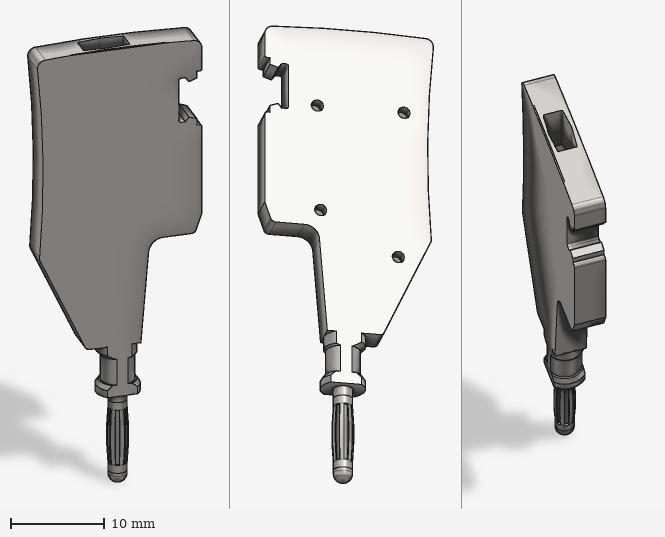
import cadquery as cq
import math

TOTAL_HEIGHT = 51.95

HOUSING_THICKNESS = 3.55
HALF_THICKNESS = HOUSING_THICKNESS / 2
HOUSING_BOTTOM_Z = 16.85
BACK_Y = 8.95
CORNER_Z = 51.65
TOP_FRONT_Y = -9.65
CROWN_CENTER_Y = (BACK_Y + TOP_FRONT_Y) / 2
WAIST_Y = -8.95
WAIST_Z = 37.9
CHIN_Y = -9.35
CHIN_Z = 28.2
BOTTOM_FRONT_Y = -4.05
BOTTOM_BACK_Y = 2.1
SHOULDER_Z = 28.95
SHOULDER_INNER_Y = 3.05
SHOULDER_OUTER_Y = 8.15
BACK_CHAMFER_Z = 31.15
TOP_CORNER_RADIUS = 0.95
SHOULDER_INNER_RADIUS = 1.65
SHOULDER_OUTER_RADIUS = 0.6
CHIN_RADIUS = 0.95
BOTTOM_FRONT_RADIUS = 0.5

NOTCH_Z = 44.85
NOTCH_FLOOR_Y = 6.35
NOTCH_HALF_HEIGHT = 2.6
HOOK_ROOT_Y = 7.05
HOOK_TIP_Y = 7.5
HOOK_TIP_HALF_HEIGHT = 2.1
HOOK_BACK_Y = 8.35
HOOK_BACK_HALF_HEIGHT = 2.4
MOUTH_HALF_HEIGHT = 3.15
NOTCH_EDGE_RADIUS = 0.25

STEP_WIDTH = 0.15
STEP_Z = 51.85

SOCKET_CENTER_Y = -1.55
SOCKET_LENGTH = 5.2
SOCKET_END_WIDTH = 2.2
SOCKET_MIDDLE_WIDTH = 2.65
SOCKET_DEPTH = 6.25
SOCKET_EDGE_RADIUS = 0.15

SIDE_HOLE_DIAMETER = 1.3
SIDE_HOLE_DEPTH = 1.55
SIDE_HOLE_PLACES = [(3.15, 42.85), (-6.35, 42.85), (2.8, 30.75), (-5.7, 26.05)]

FLANGE_RADIUS = 2.45
FLANGE_BOTTOM_Z = 10.85
FLANGE_RIM_TOP_Z = 11.7
FLANGE_TOP_Z = 12.2
FLANGE_TOP_RADIUS = 2.1
NECK_RADIUS = 1.85
NECK_TOP_Z = 15.2
FRONT_COLLAR_CONE_TOP_Z = 15.8
BACK_COLLAR_RADIUS = 2.1
BACK_COLLAR_CONE_TOP_Z = 15.45

PIN_RADIUS = 1.05
CORE_RADIUS = 0.8
SPRING_BOTTOM_Z = 1.4
SPRING_TOP_Z = 9.75

COLLAR_HEIGHT = 0.95
STRIP_COUNT = 7
STRIP_ANGLE = 26.0
FIRST_STRIP_ANGLE = 187.5
STRIP_BULGE = 0.15
STRIP_THICKNESS = 0.15


def notch_side(side):
    """Corner points of one half of the notch, from the back edge inwards; side is +1 or -1."""
    offsets = [
        (BACK_Y, MOUTH_HALF_HEIGHT),
        (HOOK_BACK_Y, MOUTH_HALF_HEIGHT),
        (HOOK_BACK_Y, HOOK_BACK_HALF_HEIGHT),
        (HOOK_TIP_Y, HOOK_TIP_HALF_HEIGHT),
        (HOOK_ROOT_Y, NOTCH_HALF_HEIGHT),
        (NOTCH_FLOOR_Y, NOTCH_HALF_HEIGHT),
    ]
    return [(y, NOTCH_Z + side * half_height) for y, half_height in offsets]


def round_corner(body, y, z, radius):
    """Round the edge that runs along X nearest to the point (y, z)."""
    return body.edges("|X").edges(cq.selectors.NearestToPointSelector((0, y, z))).fillet(radius)


def make_plate():
    """Flat plate with a crowned top, a hollow front edge and a latch notch in its back edge."""
    back_edge = notch_side(1) + notch_side(-1)[::-1]
    plate = (
        cq.Workplane("YZ", origin=(-HALF_THICKNESS, 0, 0))
        .moveTo(BACK_Y, CORNER_Z)
        .polyline(back_edge, includeCurrent=True)
        .lineTo(BACK_Y, BACK_CHAMFER_Z)
        .lineTo(SHOULDER_OUTER_Y, SHOULDER_Z)
        .lineTo(SHOULDER_INNER_Y, SHOULDER_Z)
        .lineTo(BOTTOM_BACK_Y, HOUSING_BOTTOM_Z)
        .lineTo(BOTTOM_FRONT_Y, HOUSING_BOTTOM_Z)
        .lineTo(CHIN_Y, CHIN_Z)
        .threePointArc((WAIST_Y, WAIST_Z), (TOP_FRONT_Y, CORNER_Z))
        .threePointArc((CROWN_CENTER_Y, TOTAL_HEIGHT), (BACK_Y, CORNER_Z))
        .close()
        .extrude(HOUSING_THICKNESS)
    )
    rounded_corners = [
        (BACK_Y, CORNER_Z, TOP_CORNER_RADIUS),
        (TOP_FRONT_Y, CORNER_Z, TOP_CORNER_RADIUS),
        (SHOULDER_INNER_Y, SHOULDER_Z, SHOULDER_INNER_RADIUS),
        (SHOULDER_OUTER_Y, SHOULDER_Z, SHOULDER_OUTER_RADIUS),
        (CHIN_Y, CHIN_Z, CHIN_RADIUS),
        (BOTTOM_FRONT_Y, HOUSING_BOTTOM_Z, BOTTOM_FRONT_RADIUS),
    ]
    for side in (1, -1):
        rounded_corners.append((BACK_Y, NOTCH_Z + side * MOUTH_HALF_HEIGHT, NOTCH_EDGE_RADIUS))
        rounded_corners.append((NOTCH_FLOOR_Y, NOTCH_Z + side * NOTCH_HALF_HEIGHT, NOTCH_EDGE_RADIUS))
    for y, z, radius in rounded_corners:
        plate = round_corner(plate, y, z, radius)
    return plate


def half_neck(direction, collar_radius, collar_cone_top_z):
    """Half of the turned neck; direction +1 is the half towards +Y, -1 the half towards -Y."""
    profile = [
        (0, FLANGE_BOTTOM_Z),
        (FLANGE_RADIUS, FLANGE_BOTTOM_Z),
        (FLANGE_RADIUS, FLANGE_RIM_TOP_Z),
        (FLANGE_TOP_RADIUS, FLANGE_TOP_Z),
        (NECK_RADIUS, FLANGE_TOP_Z),
        (NECK_RADIUS, NECK_TOP_Z),
        (collar_radius, collar_cone_top_z),
        (collar_radius, HOUSING_BOTTOM_Z),
        (0, HOUSING_BOTTOM_Z),
    ]
    start_angle = 0 if direction > 0 else 180
    return (
        cq.Workplane("XZ")
        .polyline(profile)
        .close()
        .revolve(180, (0, 0, 0), (0, 1, 0))
        .rotate((0, 0, 0), (0, 0, 1), start_angle)
    )


def make_neck():
    """Neck with a flange, flattened on both sides to the thickness of the plate."""
    back = half_neck(1, BACK_COLLAR_RADIUS, BACK_COLLAR_CONE_TOP_Z)
    front = half_neck(-1, FLANGE_RADIUS, FRONT_COLLAR_CONE_TOP_Z)
    height = HOUSING_BOTTOM_Z - FLANGE_BOTTOM_Z
    flats = (
        cq.Workplane("XY", origin=(0, 0, FLANGE_BOTTOM_Z))
        .box(HOUSING_THICKNESS, 2 * FLANGE_RADIUS, height, centered=(True, True, False))
    )
    return back.union(front).intersect(flats)


def top_step_cutter():
    """Strip above the top edge of the +X side, which levels off the crown there."""
    length = BACK_Y - TOP_FRONT_Y
    return (
        cq.Workplane("XY", origin=(HALF_THICKNESS - STEP_WIDTH, CROWN_CENTER_Y, STEP_Z))
        .box(STEP_WIDTH, length, TOTAL_HEIGHT - STEP_Z, centered=(False, True, False))
    )


def socket_cutter():
    """Six-sided well, widest at the middle of its length."""
    half_length = SOCKET_LENGTH / 2
    half_end = SOCKET_END_WIDTH / 2
    half_middle = SOCKET_MIDDLE_WIDTH / 2
    outline = [
        (-half_end, half_length),
        (half_end, half_length),
        (half_middle, 0),
        (half_end, -half_length),
        (-half_end, -half_length),
        (-half_middle, 0),
    ]
    return (
        cq.Workplane("XY", origin=(0, SOCKET_CENTER_Y, TOTAL_HEIGHT - SOCKET_DEPTH))
        .polyline(outline)
        .close()
        .extrude(SOCKET_DEPTH)
        .edges("|Z")
        .fillet(SOCKET_EDGE_RADIUS)
    )


def side_hole_cutters():
    """Round blind holes entering from the -X side."""
    return (
        cq.Workplane("YZ", origin=(-HALF_THICKNESS, 0, 0))
        .pushPoints(SIDE_HOLE_PLACES)
        .circle(SIDE_HOLE_DIAMETER / 2)
        .extrude(SIDE_HOLE_DEPTH)
    )


def make_housing():
    """Plate and neck in one piece, with the socket, the side holes and the top step cut out."""
    housing = make_plate().union(make_neck())
    return housing.cut(top_step_cutter()).cut(socket_cutter()).cut(side_hole_cutters())


def make_pin():
    """Turned pin with a round tip and a thinner core where the spring cage sits."""
    tip_arc_middle = (PIN_RADIUS * math.sin(math.pi / 4), PIN_RADIUS * (1 - math.cos(math.pi / 4)))
    return (
        cq.Workplane("XZ")
        .moveTo(0, 0)
        .threePointArc(tip_arc_middle, (PIN_RADIUS, PIN_RADIUS))
        .lineTo(PIN_RADIUS, SPRING_BOTTOM_Z)
        .lineTo(CORE_RADIUS, SPRING_BOTTOM_Z)
        .lineTo(CORE_RADIUS, SPRING_TOP_Z)
        .lineTo(PIN_RADIUS, SPRING_TOP_Z)
        .lineTo(PIN_RADIUS, FLANGE_BOTTOM_Z)
        .lineTo(0, FLANGE_BOTTOM_Z)
        .close()
        .revolve(360, (0, 0, 0), (0, 1, 0))
    )


def spring_collar(bottom_z):
    """Ring that holds the ends of the spring strips."""
    return (
        cq.Workplane("XY", origin=(0, 0, bottom_z))
        .circle(PIN_RADIUS)
        .circle(CORE_RADIUS)
        .extrude(COLLAR_HEIGHT)
    )


def spring_strip(angle):
    """Strip between the collars that bows outwards; angle is that of its middle, from the X axis."""
    bottom_z = SPRING_BOTTOM_Z + COLLAR_HEIGHT
    top_z = SPRING_TOP_Z - COLLAR_HEIGHT
    middle_z = (bottom_z + top_z) / 2
    inner_radius = PIN_RADIUS - STRIP_THICKNESS
    return (
        cq.Workplane("XZ")
        .moveTo(PIN_RADIUS, bottom_z)
        .threePointArc((PIN_RADIUS + STRIP_BULGE, middle_z), (PIN_RADIUS, top_z))
        .lineTo(inner_radius, top_z)
        .threePointArc((inner_radius + STRIP_BULGE, middle_z), (inner_radius, bottom_z))
        .close()
        .revolve(STRIP_ANGLE, (0, 0, 0), (0, 1, 0))
        .rotate((0, 0, 0), (0, 0, 1), angle + STRIP_ANGLE / 2)
    )


def make_spring_cage():
    """Two collars joined by bowed strips, spaced evenly around the pin."""
    cage = spring_collar(SPRING_BOTTOM_Z).union(spring_collar(SPRING_TOP_Z - COLLAR_HEIGHT))
    for index in range(STRIP_COUNT):
        cage = cage.union(spring_strip(FIRST_STRIP_ANGLE + index * 360 / STRIP_COUNT))
    return cage


housing = make_housing()
pin = make_pin()
spring_cage = make_spring_cage()
result = cq.Compound.makeCompound(
    [housing.solids().val(), pin.solids().val(), spring_cage.solids().val()]
)